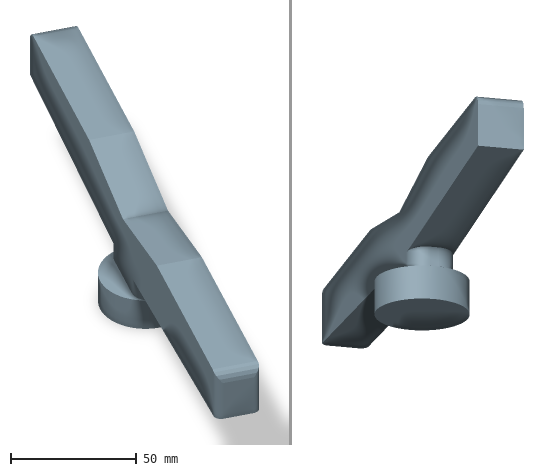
import cadquery as cq
import math

length = 245.0
height = 50.5
half_length = length / 2

foot_diameter = 38.0
foot_height = 14.0

neck_length = foot_diameter
neck_corner_radius = 7.5

bar_width = 18.9
bar_root_z = 21.5
bar_tip_z = 28.5
valley_depth = 8.0
valley_half_length = 44.5
end_radius = 4.5
end_facets = 4
side_radius = 3.2


def make_foot():
    return cq.Workplane("XY").circle(foot_diameter / 2).extrude(foot_height)


def make_neck():
    """Upright block with rounded corners, reaching up into the bar."""
    return (
        cq.Workplane("XY")
        .workplane(offset=foot_height)
        .rect(neck_length, bar_width)
        .extrude(bar_tip_z - foot_height)
        .edges("|Z")
        .fillet(neck_corner_radius)
    )


def faceted_corner():
    """Points of the +X top corner, from the end face up to the top face."""
    center_x = half_length - end_radius
    center_z = height - end_radius
    angles = [math.pi / 2 * step / end_facets for step in range(end_facets + 1)]
    return [(center_x + end_radius * math.cos(a), center_z + end_radius * math.sin(a)) for a in angles]


def make_bar():
    """Bar whose underside rises to both tips; its +X end is also rounded at the sides."""
    root_x = neck_length / 2 - neck_corner_radius
    right_corner = faceted_corner()
    left_corner = [(-x, z) for x, z in reversed(right_corner)]
    outline = [
        (-half_length, bar_tip_z),
        (-root_x, bar_root_z),
        (root_x, bar_root_z),
        (half_length, bar_tip_z),
        *right_corner,
        (valley_half_length, height),
        (0, height - valley_depth),
        (-valley_half_length, height),
        *left_corner,
    ]
    side_profile = cq.Workplane("XZ").polyline(outline).close().extrude(bar_width / 2, both=True)
    plan_outline = (
        cq.Workplane("XY")
        .rect(length, bar_width)
        .extrude(height)
        .edges("|Z and >X")
        .fillet(side_radius)
    )
    return side_profile.intersect(plan_outline)


result = make_foot().union(make_neck()).union(make_bar())